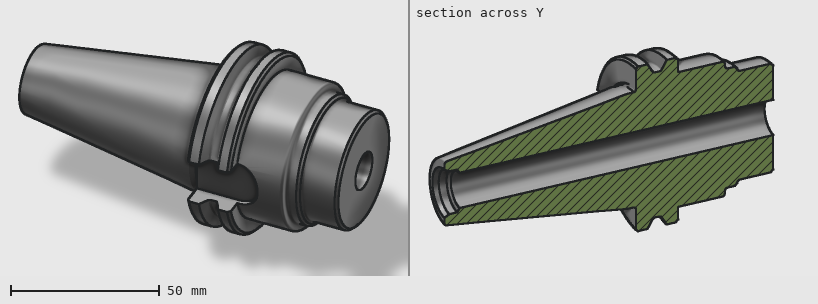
import cadquery as cq
import math


taper_length = 68.25
gauge_dia = 44.45
taper_rate = 7 / 24
small_end_dia = gauge_dia - taper_rate * taper_length
small_end_fillet = 1.2

neck_length = 3.18
neck_fillet = 0.775
flange_front_x = taper_length + neck_length

flange_dia = 63.5
flange_width = 15.9
flange_front_chamfer = 0.8
flange_rear_chamfer = 1.0
flange_rear_x = flange_front_x + flange_width
groove_offset = 11.17
groove_x = taper_length + groove_offset
groove_mouth_width = 7.1
groove_floor_dia = 56.0
groove_flank_angle = 30.0
groove_fillet = 0.8

body_dia = 52.0
body_end_x = 104.75
body_round = 1.0
collar_dia = 46.0
collar_fillet = 1.1
collar_land_end_x = 108.4
collar_chamfer = 1.0
nose_dia = 42.0
nose_fillet = 0.9
nose_chamfer = 1.0
overall_length = 122.76

bore_dia = 13.39
counterbore_dia = 16.28
counterbore_depth = 4.8
counterbore_floor_angle = 60.0
countersink_dia = 18.4
countersink_angle = 30.0

keyway_width = 16.4
keyway_near_offset = 22.8
keyway_far_offset = 25.0


def revolve_profile(points):
    """Revolve a closed (x, radius) outline about the X axis."""
    return cq.Workplane("XY").polyline(points).close().revolve(360, (0, 0, 0), (1, 0, 0))


def round_edges(solid, x, dia, radius):
    """Fillet the circular edge of the given diameter at position x."""
    margin = 0.05
    half = dia / 2 + margin
    selector = cq.selectors.BoxSelector((x - margin, -half, -half), (x + margin, half, half))
    edges = [
        edge
        for edge in solid.edges("%CIRCLE").edges(selector).vals()
        if abs(edge.radius() - dia / 2) < margin
    ]
    return solid.newObject(edges).fillet(radius)


def make_turned_body():
    gauge_r = gauge_dia / 2
    flange_r = flange_dia / 2
    body_r = body_dia / 2
    collar_r = collar_dia / 2
    nose_r = nose_dia / 2

    body = (
        cq.Workplane("XY")
        .lineTo(0, small_end_dia / 2)
        .lineTo(taper_length, gauge_r)
        .lineTo(flange_front_x, gauge_r)
        .lineTo(flange_front_x, flange_r - flange_front_chamfer)
        .line(flange_front_chamfer, flange_front_chamfer)
        .lineTo(flange_rear_x - flange_rear_chamfer, flange_r)
        .line(flange_rear_chamfer, -flange_rear_chamfer)
        .lineTo(flange_rear_x, body_r)
        .lineTo(body_end_x - body_round, body_r)
        .tangentArcPoint((body_round, -body_round))
        .lineTo(body_end_x, collar_r + collar_fillet)
        .tangentArcPoint((collar_fillet, -collar_fillet))
        .lineTo(collar_land_end_x, collar_r)
        .line(collar_chamfer, -collar_chamfer)
        .lineTo(collar_land_end_x + collar_chamfer, nose_r + nose_fillet)
        .tangentArcPoint((nose_fillet, -nose_fillet))
        .lineTo(overall_length - nose_chamfer, nose_r)
        .line(nose_chamfer, -nose_chamfer)
        .lineTo(overall_length, 0)
        .close()
        .revolve(360, (0, 0, 0), (1, 0, 0))
    )
    body = round_edges(body, 0, small_end_dia, small_end_fillet)
    return round_edges(body, flange_front_x, gauge_dia, neck_fillet)


def make_groove():
    """Ring that cuts the V-groove, with rounded corners at its floor."""
    floor_r = groove_floor_dia / 2
    flange_r = flange_dia / 2
    half_mouth = groove_mouth_width / 2
    half_floor = half_mouth - (flange_r - floor_r) * math.tan(math.radians(groove_flank_angle))
    ring = revolve_profile([
        (groove_x - half_floor, floor_r),
        (groove_x + half_floor, floor_r),
        (groove_x + half_mouth, flange_r),
        (groove_x - half_mouth, flange_r),
    ])
    for side in (-1, 1):
        ring = round_edges(ring, groove_x + side * half_floor, groove_floor_dia, groove_fillet)
    return ring


def make_bore():
    bore_r = bore_dia / 2
    counterbore_r = counterbore_dia / 2
    countersink_r = countersink_dia / 2
    countersink_depth = (countersink_r - counterbore_r) / math.tan(math.radians(countersink_angle))
    floor_length = (counterbore_r - bore_r) / math.tan(math.radians(counterbore_floor_angle))
    return revolve_profile([
        (0, 0),
        (0, countersink_r),
        (countersink_depth, counterbore_r),
        (counterbore_depth, counterbore_r),
        (counterbore_depth + floor_length, bore_r),
        (overall_length, bore_r),
        (overall_length, 0),
    ])


def make_keyway(side, floor_offset):
    """Round-ended slot cutter on one side (-1 for -Y, +1 for +Y), open toward the neck."""
    start_x = taper_length
    round_center_x = flange_rear_x
    depth = flange_dia / 2 - floor_offset
    center_y = side * (floor_offset + depth / 2)
    straight = cq.Workplane("XY").box(
        round_center_x - start_x, depth, keyway_width
    ).translate(((start_x + round_center_x) / 2, center_y, 0))
    rounded_end = (
        cq.Workplane("XZ", origin=(round_center_x, center_y, 0))
        .circle(keyway_width / 2)
        .extrude(depth / 2, both=True)
    )
    return straight.union(rounded_end)


result = (
    make_turned_body()
    .cut(make_groove())
    .cut(make_bore())
    .cut(make_keyway(-1, keyway_near_offset))
    .cut(make_keyway(1, keyway_far_offset))
)